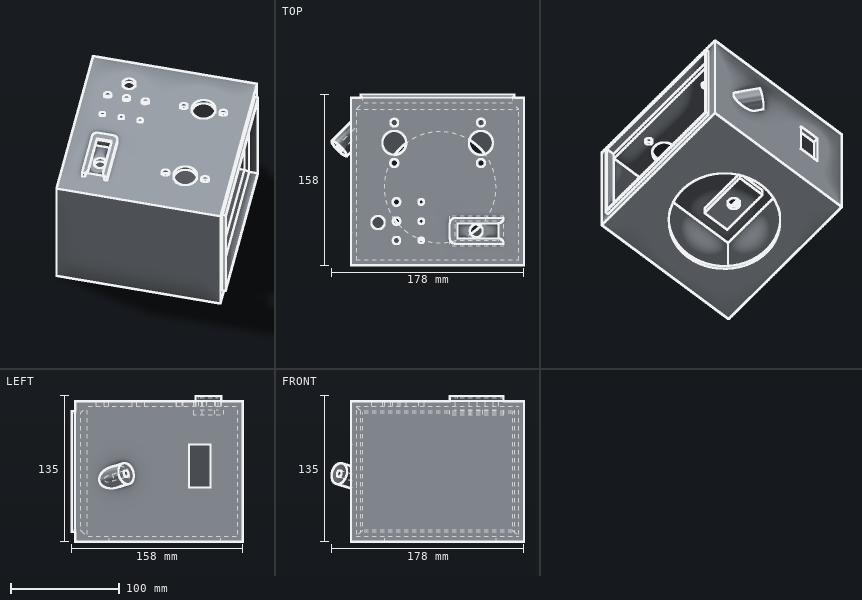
import cadquery as cq
import math

box_x = 160.0
box_y = 155.0
box_z = 130.0
wall = 5.0

rim_margin = 8.9
rim_depth = 3.0
rim_wall = 2.0
opening_margin = rim_margin + rim_wall
rear_bevel = opening_margin - wall

floor_hole_d = 103.0
floor_hole_x = 82.5
floor_hole_y = 72.1

large_hole_d = 22.0
large_hole_y = 113.2
large_hole_xs = (40.0, 120.2)
screw_hole_d = 7.1
screw_offset = 18.7

row_ys = (23.0, 40.8, 58.5)
wide_column_x = 42.0
wide_column_d = 6.8
narrow_column_x = 65.0
narrow_column_d = 5.0
button_x = 25.1
button_y = 39.5
button_d = 12.3

holder_x = 91.3
holder_y = 20.0
holder_length = 49.8
holder_width = 23.9
holder_height = 5.0
holder_corner_r = 5.0
lip_width = 5.0
lip_height = 2.0
undercut = 2.0
lip_end_width = lip_width + undercut
pocket_end_x = 136.2
pocket_depth = 8.0
pocket_hole_d = 11.7
pocket_hole_x = 115.9

window_y = 39.9
window_z = 70.1
window_width = 20.0
window_height = 39.9

tube_d = 20.0
tube_bore_d = 6.0
tube_reach = 18.0
tube_end_y = 107.9
tube_end_z = 63.0
tube_heading = math.radians(45)
tube_rise = math.radians(12)


def block(x0, x1, y0, y1, z0, z1):
    """Box between two corners."""
    return cq.Workplane("XY").box(x1 - x0, y1 - y0, z1 - z0, centered=False).translate((x0, y0, z0))


def rear_section(y, margin):
    """Rectangle across the box at depth y, inset from its sides by margin."""
    plane = cq.Plane(origin=(box_x / 2, y, box_z / 2), xDir=(1, 0, 0), normal=(0, 1, 0))
    return cq.Workplane(plane).rect(box_x - 2 * margin, box_z - 2 * margin)


def make_shell():
    """Hollow box with a bevelled rear opening framed by a rim."""
    body = block(0, box_x, 0, box_y, 0, box_z)
    body = body.union(rear_section(box_y, rim_margin).extrude(rim_depth))
    bevel_start = box_y - wall - rear_bevel
    body = body.cut(rear_section(wall, wall).extrude(bevel_start - wall))
    inner = box_x - 2 * opening_margin, box_z - 2 * opening_margin
    bevel = rear_section(bevel_start, wall).workplane(offset=rear_bevel).rect(*inner).loft(ruled=True)
    body = body.cut(bevel)
    return body.cut(rear_section(box_y - wall, opening_margin).extrude(wall + rim_depth))


def vertical_hole(x, y, diameter, z_bottom, depth):
    """Cutter for a round hole along Z."""
    return cq.Workplane("XY", origin=(x, y, z_bottom)).circle(diameter / 2).extrude(depth)


def cut_panel_holes(body):
    """Holes through the top wall and the opening in the floor."""
    holes = [(button_x, button_y, button_d)]
    for x in large_hole_xs:
        holes.append((x, large_hole_y, large_hole_d))
        for side in (-1, 1):
            holes.append((x, large_hole_y + side * screw_offset, screw_hole_d))
    for y in row_ys:
        holes.append((wide_column_x, y, wide_column_d))
        holes.append((narrow_column_x, y, narrow_column_d))
    for x, y, diameter in holes:
        body = body.cut(vertical_hole(x, y, diameter, box_z - wall, wall))
    return body.cut(vertical_hole(floor_hole_x, floor_hole_y, floor_hole_d, 0, wall))


def holder_outline():
    """U outline with rounded closed end and leg tips rounded on the inside."""
    x0, x1 = holder_x, holder_x + holder_length
    y0, y1 = holder_y, holder_y + holder_width
    r = holder_corner_r
    diagonal = lip_width * math.sqrt(0.5)
    tip_x = x1 - lip_width
    closed_x = x0 + lip_end_width
    corner = r * (1 - math.sqrt(0.5))
    return (
        cq.Workplane("XY", origin=(0, 0, box_z))
        .moveTo(x0 + r, y0)
        .lineTo(x1, y0)
        .threePointArc((tip_x + diagonal, y0 + diagonal), (tip_x, y0 + lip_width))
        .lineTo(closed_x, y0 + lip_width)
        .lineTo(closed_x, y1 - lip_width)
        .lineTo(tip_x, y1 - lip_width)
        .threePointArc((tip_x + diagonal, y1 - diagonal), (x1, y1))
        .lineTo(x0 + r, y1)
        .threePointArc((x0 + corner, y1 - corner), (x0, y1 - r))
        .lineTo(x0, y0 + r)
        .threePointArc((x0 + corner, y0 + corner), (x0 + r, y0))
        .close()
    )


def add_holder(body):
    """Lipped holder above the top wall and its pocket hanging below."""
    slot_x = holder_x + lip_end_width - undercut
    slot_y0 = holder_y + lip_width - undercut
    slot_y1 = holder_y + holder_width - lip_width + undercut
    pocket_z = box_z - pocket_depth
    housing_z = pocket_z - wall
    lip_z = box_z + holder_height - lip_height
    body = body.union(holder_outline().extrude(holder_height))
    body = body.union(
        block(slot_x - wall, pocket_end_x + wall, slot_y0 - wall, slot_y1 + wall, housing_z, box_z)
    )
    body = body.cut(block(slot_x, holder_x + holder_length, slot_y0, slot_y1, box_z, lip_z))
    body = body.cut(block(slot_x, pocket_end_x, slot_y0, slot_y1, pocket_z, box_z))
    hole_y = holder_y + holder_width / 2
    return body.cut(vertical_hole(pocket_hole_x, hole_y, pocket_hole_d, housing_z, wall))


def cut_window(body):
    """Rectangular window through the left wall."""
    half_w, half_h = window_width / 2, window_height / 2
    return body.cut(
        block(0, wall, window_y - half_w, window_y + half_w, window_z - half_h, window_z + half_h)
    )


def add_tube(body):
    """Slanted tube leaving the left wall, bored through into the cavity."""
    axis_x = math.cos(tube_rise) * math.cos(tube_heading)
    axis_y = math.cos(tube_rise) * math.sin(tube_heading)
    axis_z = -math.sin(tube_rise)
    end_x = tube_d / 2 * math.sqrt(1 - axis_x**2) - tube_reach
    end_plane = cq.Plane(
        origin=(end_x, tube_end_y, tube_end_z), xDir=(-axis_y, axis_x, 0), normal=(axis_x, axis_y, axis_z)
    )
    length = 2 * (tube_reach + wall)
    tube = cq.Workplane(end_plane).circle(tube_d / 2).extrude(length)
    outside = block(-tube_reach, wall, 0, box_y, 0, box_z)
    bore = cq.Workplane(end_plane).circle(tube_bore_d / 2).extrude(length)
    return body.union(tube.intersect(outside)).cut(bore)


result = make_shell()
result = cut_panel_holes(result)
result = add_holder(result)
result = cut_window(result)
result = add_tube(result)